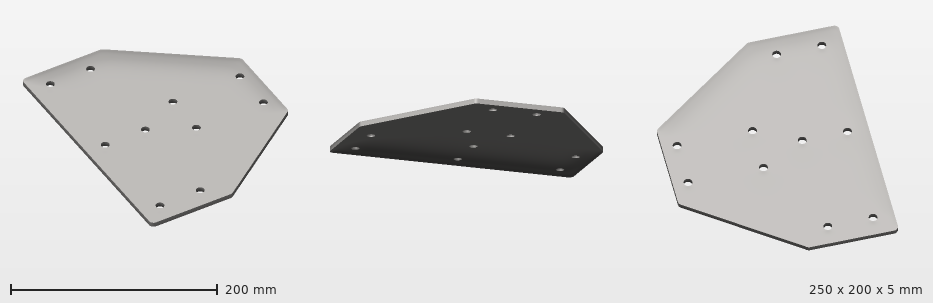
import cadquery as cq

width = 250.0
depth = 200.0
thickness = 5.0
arm_width = 90.0
corner_radius = 5.0

hole_diameter = 8.5
hole_pitch = 45.0
front_row_y = 21.0
side_hole_x = 105.0
stem_inner_y = 110.0
stem_outer_y = 185.0


def plate():
    """T-shaped joining plate with sloped shoulders and rounded corners."""
    half_width = width / 2
    half_arm = arm_width / 2
    outline = [
        (-half_width, 0),
        (half_width, 0),
        (half_width, arm_width),
        (half_arm, depth),
        (-half_arm, depth),
        (-half_width, arm_width),
    ]
    blank = cq.Workplane("XY").polyline(outline).close().extrude(thickness)
    return blank.edges("|Z").fillet(corner_radius)


def hole_centers():
    """Three pairs along the crossbar and two pairs along the stem."""
    crossbar = [
        (x, y)
        for x in (-side_hole_x, 0, side_hole_x)
        for y in (front_row_y, front_row_y + hole_pitch)
    ]
    stem = [
        (x, y)
        for x in (-hole_pitch / 2, hole_pitch / 2)
        for y in (stem_inner_y, stem_outer_y)
    ]
    return crossbar + stem


holes = (
    cq.Workplane("XY")
    .pushPoints(hole_centers())
    .circle(hole_diameter / 2)
    .extrude(thickness)
)

result = plate().cut(holes)